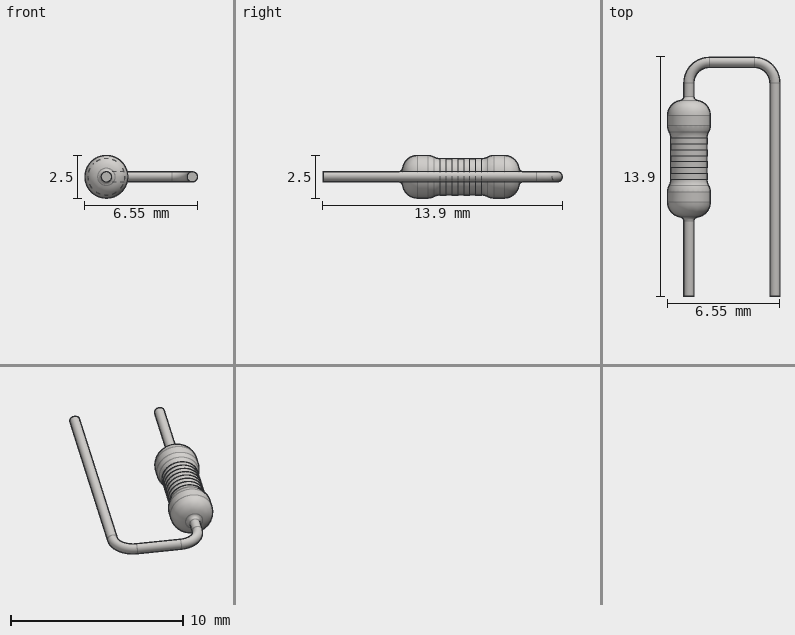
import cadquery as cq
import math


lead_diameter = 0.6
lead_radius = lead_diameter / 2
lead_pitch = 5.0
bend_radius = 1.2
lead_tip_y = -8.0
lead_crest_y = 5.6

cap_diameter = 2.5
cap_radius = cap_diameter / 2
body_half_length = 3.4
dome_radius = 0.875
cap_inner_y = 1.92
collar_radius = 0.24

waist_diameter = 2.12
waist_radius = waist_diameter / 2
band_diameter = 2.15
band_count = 4
banded_length = 2.4
waist_half_length = banded_length / 2
stripe_count = 2 * band_count - 1
stripe_width = banded_length / stripe_count


def make_body_end():
    """Revolve the +Y end of the body: S-shaped shoulder, cap, dome and collar."""
    shoulder_drop = cap_radius - waist_radius
    shoulder_length = cap_inner_y - waist_half_length
    half_sweep = math.atan(shoulder_drop / shoulder_length)
    arc_radius = shoulder_length / 2 / math.sin(2 * half_sweep)
    arc_dx = arc_radius * (1 - math.cos(half_sweep))
    arc_dy = arc_radius * math.sin(half_sweep)

    shoulder_middle = (waist_radius + shoulder_drop / 2, waist_half_length + shoulder_length / 2)
    concave_point = (waist_radius + arc_dx, waist_half_length + arc_dy)
    convex_point = (cap_radius - arc_dx, cap_inner_y - arc_dy)

    dome_centre = (cap_radius - dome_radius, body_half_length - dome_radius)
    collar_centre_x = lead_radius + collar_radius
    centre_dx = collar_centre_x - dome_centre[0]
    centre_distance = dome_radius + collar_radius
    centre_dy = math.sqrt(centre_distance**2 - centre_dx**2)
    collar_end_y = dome_centre[1] + centre_dy
    join_angle = math.atan2(centre_dy, centre_dx)

    def on_dome(angle):
        return (
            dome_centre[0] + dome_radius * math.cos(angle),
            dome_centre[1] + dome_radius * math.sin(angle),
        )

    collar_middle_angle = (math.pi + join_angle + math.pi) / 2
    collar_middle = (
        collar_centre_x + collar_radius * math.cos(collar_middle_angle),
        collar_end_y + collar_radius * math.sin(collar_middle_angle),
    )

    return (
        cq.Workplane("XY")
        .moveTo(0, waist_half_length)
        .lineTo(waist_radius, waist_half_length)
        .threePointArc(concave_point, shoulder_middle)
        .threePointArc(convex_point, (cap_radius, cap_inner_y))
        .lineTo(cap_radius, dome_centre[1])
        .threePointArc(on_dome(join_angle / 2), on_dome(join_angle))
        .threePointArc(collar_middle, (lead_radius, collar_end_y))
        .lineTo(0, collar_end_y)
        .close()
        .revolve(360, (0, 0), (0, 1))
    )


def make_disc(diameter, start_y, length):
    """Return a cylinder on the body axis that runs from start_y toward +Y."""
    return cq.Workplane("XZ", origin=(0, start_y, 0)).circle(diameter / 2).extrude(-length)


def make_waist():
    """Return the waist with its raised bands, one at each end and a gap between neighbours."""
    waist = make_disc(waist_diameter, -waist_half_length, banded_length)
    for index in range(band_count):
        band_start_y = -waist_half_length + 2 * index * stripe_width
        waist = waist.union(make_disc(band_diameter, band_start_y, stripe_width))
    return waist


def make_lead():
    """Sweep the wire through the body, over the crest and back down beside it."""
    bend_offset = bend_radius * (1 - math.sqrt(0.5))
    bend_start_y = lead_crest_y - bend_radius
    path = (
        cq.Workplane("XY")
        .moveTo(0, lead_tip_y)
        .lineTo(0, bend_start_y)
        .threePointArc((bend_offset, lead_crest_y - bend_offset), (bend_radius, lead_crest_y))
        .lineTo(lead_pitch - bend_radius, lead_crest_y)
        .threePointArc(
            (lead_pitch - bend_offset, lead_crest_y - bend_offset),
            (lead_pitch, bend_start_y),
        )
        .lineTo(lead_pitch, lead_tip_y)
    )
    return cq.Workplane("XZ", origin=(0, lead_tip_y, 0)).circle(lead_radius).sweep(path)


body_end = make_body_end()
result = make_waist().union(body_end).union(body_end.mirror("XZ")).union(make_lead())